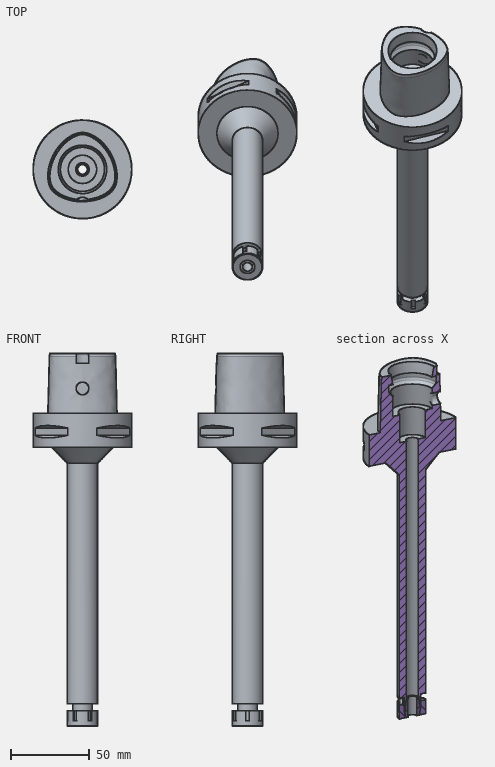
import cadquery as cq
import math


shank_height = 38.0
shank_diameter = 44.3
lobe_height = 1.5
taper_per_side = 1 / 40
shank_curve_points = 24
rim_chamfer_height = 2.0
rim_chamfer_width = 0.5

mouth_diameter = 31.0
bore_diameter = 28.0
mouth_depth = 7.1
relief_diameter = 33.8
relief_wall_depth = 11.0
relief_corner_radius = 2.4
relief_cone_angle = 45
bore_depth = 28.5
screw_bore_diameter = 18.0
screw_bore_depth = 47.5
through_diameter = 8.3

notch_width = 8.0
notch_height = 6.2
notch_radius = 5.7
notch_reach = 17.8
dimple_diameter = 8.0
dimple_height = 15.7
dimple_floor = 14.5

flange_diameter = 63.0
flange_height = 22.0
groove_count = 4
groove_first_angle = 45
groove_floor_radius = 27.8
groove_floor_height = 4.5
groove_flare_angle = 25
groove_depth_below_face = 12.0

overall_height = 238.0
cone_diameter = 39.0
cone_height = 10.0
stem_diameter = 19.5
neck_diameter = 12.5
neck_gap = 4.3

nut_diameter = stem_diameter
nut_height = 10.0
nut_chamfer = 0.5
nut_thread_depth = 5.7
nut_slot_count = 6
nut_slot_width = 2.4
nut_slot_height = 6.5
nut_slot_depth = 1.7

collet_bore_diameter = 6.2
collet_seat_diameter = 11.0
collet_nose_diameter = 9.5
collet_tip_diameter = 8.5
collet_seat_height = 8.5

cone_top = -flange_height
cone_bottom = cone_top - cone_height
nut_bottom = shank_height - overall_height
nut_top = nut_bottom + nut_height
stem_bottom = nut_top + neck_gap
neck_bottom = nut_top - nut_thread_depth


def frustum(bottom, bottom_diameter, top, top_diameter):
    """Solid of revolution about Z between two levels, straight or conical."""
    outline = [(0, bottom), (bottom_diameter / 2, bottom), (top_diameter / 2, top), (0, top)]
    return cq.Workplane("XZ").polyline(outline).close().revolve(360, (0, 0), (0, 1))


def cylinder(bottom, top, diameter):
    return frustum(bottom, diameter, top, diameter)


def shank_outline(level, inset):
    """Three-lobed curve of constant width with one lobe on +Y, shrunk by inset."""
    mean_radius = shank_diameter / 2 - inset

    def point(t):
        support = mean_radius + lobe_height * math.cos(3 * t)
        support_slope = -3 * lobe_height * math.sin(3 * t)
        along = support * math.cos(t) - support_slope * math.sin(t)
        across = support * math.sin(t) + support_slope * math.cos(t)
        return (-across, along)

    turns = [math.pi + 2 * math.pi * i / shank_curve_points for i in range(shank_curve_points)]
    plane = cq.Workplane("XY").workplane(offset=level)
    return plane.spline([point(t) for t in turns], periodic=True).wire().val()


def shank_section(bottom, bottom_inset, top, top_inset):
    wires = [shank_outline(bottom, bottom_inset), shank_outline(top, top_inset)]
    return cq.Workplane(cq.Solid.makeLoft(wires, True))


def make_shank():
    chamfer_level = shank_height - rim_chamfer_height
    chamfer_inset = chamfer_level * taper_per_side
    body = shank_section(0, 0, chamfer_level, chamfer_inset)
    rim = shank_section(chamfer_level, chamfer_inset, shank_height, chamfer_inset + rim_chamfer_width)
    return body.union(rim)


def cut_notch(body):
    """Shallow notch at the rim with a concave floor about a vertical axis."""
    bottom = shank_height - notch_height
    arc = cylinder(bottom, shank_height, 2 * notch_radius).translate((0, -notch_reach - notch_radius, 0))
    width_limit = (
        cq.Workplane("XY").workplane(offset=bottom)
        .center(0, -notch_reach).rect(notch_width, 2 * notch_radius).extrude(notch_height)
    )
    return body.cut(arc.intersect(width_limit))


def cut_dimple(body):
    """Blind radial hole entering from -Y."""
    dimple = (
        cq.Workplane("XZ", origin=(0, -dimple_floor, dimple_height))
        .circle(dimple_diameter / 2).extrude(shank_diameter)
    )
    return body.cut(dimple)


def relief(top):
    """Undercut below the mouth: straight wall, rounded corner, then a cone down to the bore."""
    wall = relief_diameter / 2
    corner_start = shank_height - relief_wall_depth
    corner_center = wall - relief_corner_radius

    def corner_point(degrees):
        angle = math.radians(degrees)
        return (
            corner_center + relief_corner_radius * math.cos(angle),
            corner_start - relief_corner_radius * math.sin(angle),
        )

    corner_end = corner_point(relief_cone_angle)
    bore_edge = bore_diameter / 2
    cone_end = corner_end[1] - (corner_end[0] - bore_edge) / math.tan(math.radians(relief_cone_angle))
    return (
        cq.Workplane("XZ").moveTo(0, top).lineTo(wall, top).lineTo(wall, corner_start)
        .threePointArc(corner_point(relief_cone_angle / 2), corner_end)
        .lineTo(bore_edge, cone_end).lineTo(0, cone_end).close().revolve(360, (0, 0), (0, 1))
    )


def cut_bore(body):
    mouth_bottom = shank_height - mouth_depth
    bore_bottom = shank_height - bore_depth
    screw_bore_bottom = shank_height - screw_bore_depth
    body = body.cut(frustum(mouth_bottom, bore_diameter, shank_height, mouth_diameter))
    body = body.cut(relief(mouth_bottom))
    body = body.cut(cylinder(bore_bottom, mouth_bottom, bore_diameter))
    body = body.cut(cylinder(screw_bore_bottom, bore_bottom, screw_bore_diameter))
    return body.cut(cylinder(neck_bottom, screw_bore_bottom, through_diameter))


def cut_gripper_grooves(body):
    """Straight tapered grooves, each across the flange rim."""
    outer = flange_diameter / 2
    half_floor = groove_floor_height / 2
    half_mouth = half_floor + (outer - groove_floor_radius) * math.tan(math.radians(groove_flare_angle))
    outline = [
        (groove_floor_radius, -half_floor),
        (outer, -half_mouth),
        (outer, half_mouth),
        (groove_floor_radius, half_floor),
    ]
    groove = (
        cq.Workplane("XZ").polyline(outline).close().extrude(outer, both=True)
        .translate((0, 0, -groove_depth_below_face))
    )
    for i in range(groove_count):
        angle = groove_first_angle + i * 360 / groove_count
        body = body.cut(groove.rotate((0, 0, 0), (0, 0, 1), angle))
    return body


def collet_seat():
    """Cone that fills the seat in the neck."""
    return frustum(neck_bottom, collet_seat_diameter, neck_bottom + collet_seat_height, collet_tip_diameter)


def collet_nose():
    """Cone that fills the mouth of the nut."""
    return frustum(nut_bottom, collet_nose_diameter, neck_bottom, collet_seat_diameter)


def make_holder():
    flange = cut_gripper_grooves(cylinder(cone_top, 0, flange_diameter))
    body = flange.union(make_shank())
    body = body.union(frustum(cone_bottom, stem_diameter, cone_top, cone_diameter))
    body = body.union(cylinder(stem_bottom, cone_bottom, stem_diameter))
    body = body.union(cylinder(neck_bottom, stem_bottom, neck_diameter))
    body = cut_bore(body)
    body = body.cut(collet_seat())
    return cut_dimple(cut_notch(body))


def make_nut():
    body = cylinder(nut_bottom, nut_top, nut_diameter).faces("<Z").chamfer(nut_chamfer)
    body = body.cut(cylinder(neck_bottom, nut_top, neck_diameter)).cut(collet_nose())
    slot = (
        cq.Workplane("XY").workplane(offset=nut_top - nut_slot_height)
        .center(nut_diameter / 2, 0).rect(2 * nut_slot_depth, nut_slot_width).extrude(nut_slot_height)
    )
    for i in range(nut_slot_count):
        body = body.cut(slot.rotate((0, 0, 0), (0, 0, 1), i * 360 / nut_slot_count))
    return body


def make_collet():
    body = collet_nose().union(collet_seat())
    return body.cut(cylinder(nut_bottom, neck_bottom + collet_seat_height, collet_bore_diameter))


holder = make_holder()
nut = make_nut()
collet = make_collet()

result = cq.Compound.makeCompound([body.solids().val() for body in (holder, nut, collet)])